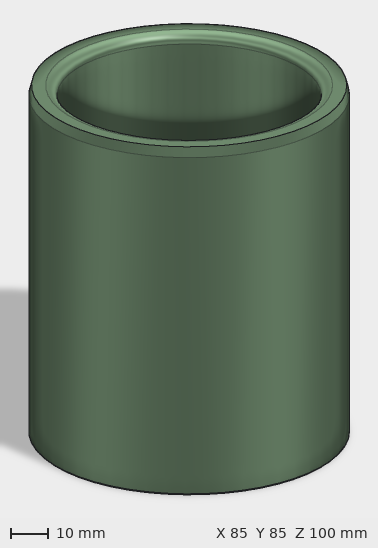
import cadquery as cq
import math

length = 100.0
outer_diameter = 85.0
bore_diameter = 70.0
lead_in_height = 2.8
lead_in_angle = 15.0
bore_round_radius = 3.0
bottom_chamfer = 0.5

outer_radius = outer_diameter / 2
bore_radius = bore_diameter / 2
lead_in_width = lead_in_height * math.tan(math.radians(lead_in_angle))


def bushing_sleeve():
    """Plain tube standing on the XY plane."""
    return (
        cq.Workplane("XY")
        .circle(outer_radius)
        .circle(bore_radius)
        .extrude(length)
    )


def lead_in_cutter():
    """Ring that leaves a steep taper on the top outer edge."""
    return (
        cq.Workplane("XZ")
        .moveTo(outer_radius, length - lead_in_height)
        .lineTo(outer_radius, length)
        .lineTo(outer_radius - lead_in_width, length)
        .close()
        .revolve(360, (0, 0, 0), (0, 1, 0))
    )


sleeve = bushing_sleeve()

bore_mouth = sleeve.faces(">Z").edges(cq.selectors.RadiusNthSelector(0))
sleeve = bore_mouth.fillet(bore_round_radius)

bottom_rim = sleeve.faces("<Z").edges(cq.selectors.RadiusNthSelector(-1))
sleeve = bottom_rim.chamfer(bottom_chamfer)

result = sleeve.cut(lead_in_cutter())